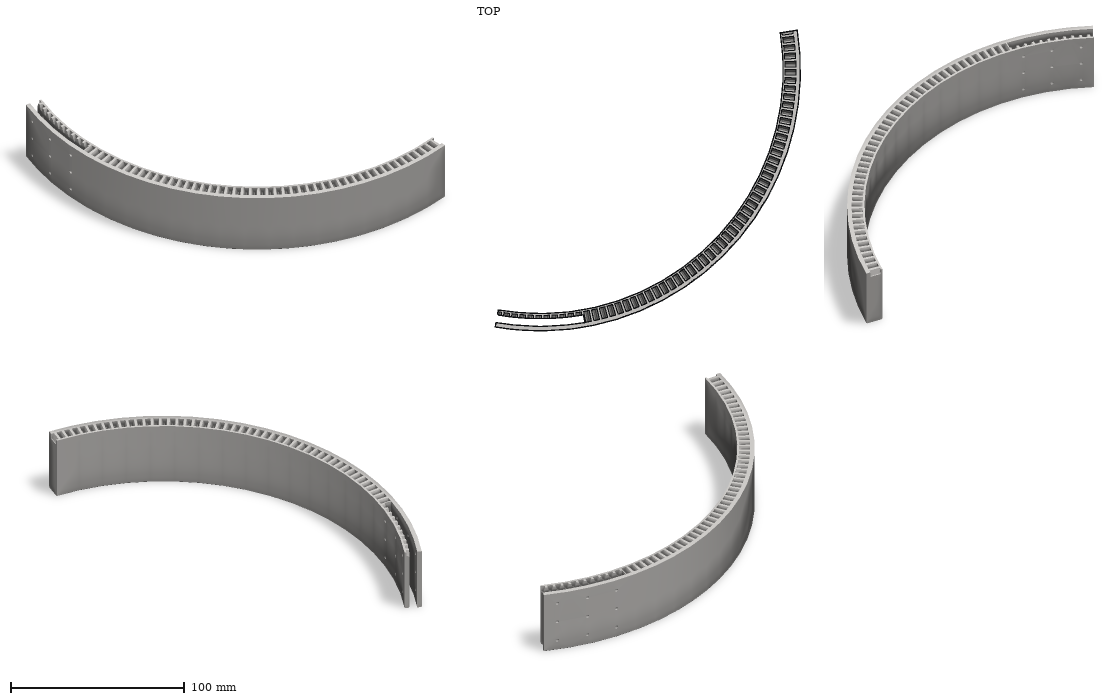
import math

import cadquery as cq

height = 40.0
outer_radius = 150.0
thickness = 10.0
outer_skin = 2.6
inner_skin = 1.0
tongue_thickness = 3.0
tongue_bevel = 0.9
bottom_chamfer = 0.5

start_angle = -10
slot_end_angle = 10
end_angle = 99

groove_count = 59
grooves_per_turn = 192
groove_depth = 3.5
groove_root_radius = 0.44
groove_flank_angle = 20.6

hole_diameter = 2.0
hole_pitch_angle = 7
hole_pitch_z = 13.0
grid_steps = (-1, 0, 1)
drill_overrun = 1.8

inner_radius = outer_radius - thickness
core_inner = inner_radius + inner_skin
core_outer = outer_radius - outer_skin
tongue_outer = inner_radius + tongue_thickness

rib_pitch_angle = 360 / grooves_per_turn

flank_turn = math.radians(groove_flank_angle)
root_half_width = groove_root_radius * math.cos(flank_turn)
root_rise = groove_root_radius * (1 - math.sin(flank_turn))
top_half_width = root_half_width + (groove_depth - root_rise) * math.tan(flank_turn)

center_x = outer_radius * math.sin(math.radians(-start_angle))
center_y = outer_radius


def polar(radius, angle):
    """Point at a radius and an angle, measured about the band's axis."""
    turn = math.radians(angle)
    return (radius * math.sin(turn), -radius * math.cos(turn))


def arc_band(radius_in, radius_out, angle_from, angle_to):
    """Full-height curved wall between two radii and two radial ends."""
    angle_middle = (angle_from + angle_to) / 2
    return (
        cq.Workplane("XY")
        .moveTo(*polar(radius_in, angle_from))
        .threePointArc(polar(radius_in, angle_middle), polar(radius_in, angle_to))
        .lineTo(*polar(radius_out, angle_to))
        .threePointArc(polar(radius_out, angle_middle), polar(radius_out, angle_from))
        .close()
        .extrude(height)
    )


def groove_cutters():
    """V-shaped cutters along each radius, counted back from half a groove at the upper end."""
    floor_z = height - groove_depth
    cutter = (
        cq.Workplane("XZ", origin=(0, -inner_radius, 0))
        .moveTo(-top_half_width, height)
        .lineTo(-root_half_width, floor_z + root_rise)
        .threePointArc((0, floor_z), (root_half_width, floor_z + root_rise))
        .lineTo(top_half_width, height)
        .close()
        .extrude(thickness)
    )
    angles = [end_angle - i * rib_pitch_angle for i in range(groove_count)]
    return [cutter.rotate((0, 0, 0), (0, 0, 1), angle).val() for angle in angles]


def grooved_core():
    """Ribbed filling: thin on the tongue, full between the skins beyond the slot."""
    tongue = arc_band(core_inner, tongue_outer, start_angle, slot_end_angle)
    free_corner = (*polar(tongue_outer, start_angle), height / 2)
    tongue = tongue.edges(cq.NearestToPointSelector(free_corner)).chamfer(tongue_bevel)
    filling = arc_band(core_inner, core_outer, slot_end_angle, end_angle)
    core = tongue.union(filling).val()
    return cq.Workplane(core.cut(*groove_cutters()))


def hole_cutters():
    """Radial drills in a grid of columns by angle and rows by height."""
    rows = [(0, height / 2 + step * hole_pitch_z) for step in grid_steps]
    column = (
        cq.Workplane("XZ", origin=(0, -inner_radius + drill_overrun, 0))
        .pushPoints(rows)
        .circle(hole_diameter / 2)
        .extrude(thickness + 2 * drill_overrun)
    )
    drills = cq.Workplane("XY")
    for step in grid_steps:
        drills = drills.add(column.rotate((0, 0, 0), (0, 0, 1), step * hole_pitch_angle))
    return drills.vals()


def chamfer_bottom_edge(wall, radius):
    """Bevel the lower curved edge of a wall on the side with the given radius."""
    edges = [
        edge
        for edge in wall.faces("<Z").edges("%CIRCLE").vals()
        if math.isclose(edge.radius(), radius, abs_tol=inner_skin / 2)
    ]
    return wall.newObject(edges).chamfer(bottom_chamfer)


inner_wall = chamfer_bottom_edge(arc_band(inner_radius, core_inner, start_angle, end_angle), inner_radius)
outer_wall = chamfer_bottom_edge(arc_band(core_outer, outer_radius, start_angle, end_angle), outer_radius)
band = grooved_core().union(inner_wall).union(outer_wall)
drilled = band.val().cut(*hole_cutters())

result = cq.Workplane(drilled).translate((center_x, center_y, 0))